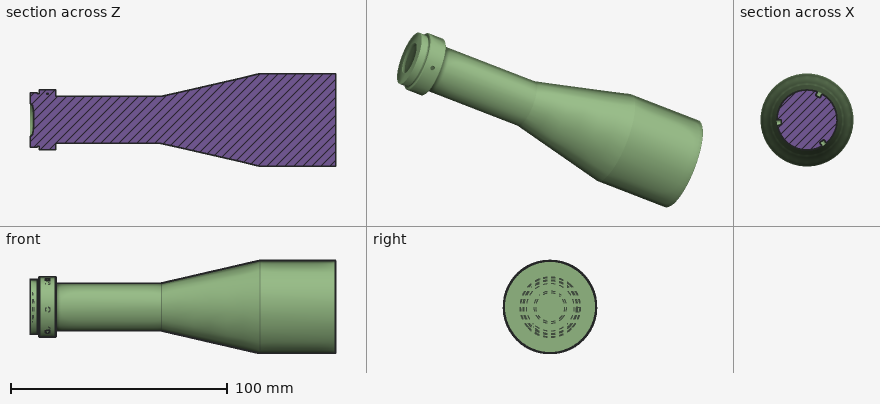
import cadquery as cq
import math

total_length = 141.1
flange_end = 3.3
collar_start = 4.0
collar_end = 12.0
cone_start = 60.4
cone_end = 105.9

flange_radius = 25.4 / 2
groove_radius = 24.4 / 2
collar_radius = 28.0 / 2
tube_radius = 22.0 / 2
barrel_radius = 43.0 / 2

collar_chamfer = 0.35
barrel_chamfer = 0.3

recess_mouth_radius = 7.5
recess_floor_radius = 6.7
recess_depth = 1.0
dish_depth = 0.6

screw_hole_diameter = 2.2
screw_hole_depth = 2.0
screw_hole_count = 3
first_screw_angle = 65.0


def revolve_about_x(profile):
    return profile.close().revolve(360, (0, 0, 0), (1, 0, 0))


def make_body():
    profile = (
        cq.Workplane("XZ")
        .moveTo(0, 0)
        .lineTo(0, flange_radius)
        .lineTo(flange_end, flange_radius)
        .lineTo(flange_end, groove_radius)
        .lineTo(collar_start, groove_radius)
        .lineTo(collar_start, collar_radius - collar_chamfer)
        .lineTo(collar_start + collar_chamfer, collar_radius)
        .lineTo(collar_end - collar_chamfer, collar_radius)
        .lineTo(collar_end, collar_radius - collar_chamfer)
        .lineTo(collar_end, tube_radius)
        .lineTo(cone_start, tube_radius)
        .lineTo(cone_end, barrel_radius)
        .lineTo(total_length - barrel_chamfer, barrel_radius)
        .lineTo(total_length, barrel_radius - barrel_chamfer)
        .lineTo(total_length, 0)
    )
    return revolve_about_x(profile)


def make_recess():
    """Tapered recess whose floor is a shallow concave spherical dish."""
    sphere_radius = (recess_floor_radius**2 + dish_depth**2) / (2 * dish_depth)
    pole = recess_depth + dish_depth
    half_angle = math.asin(recess_floor_radius / sphere_radius) / 2
    arc_middle = (
        pole - sphere_radius * (1 - math.cos(half_angle)),
        sphere_radius * math.sin(half_angle),
    )
    profile = (
        cq.Workplane("XZ")
        .moveTo(0, 0)
        .lineTo(0, recess_mouth_radius)
        .lineTo(recess_depth, recess_floor_radius)
        .threePointArc(arc_middle, (pole, 0))
    )
    return revolve_about_x(profile)


def make_screw_hole(angle):
    """Cutter for one radial blind hole; it reaches past the collar surface so the mouth is clean."""
    outward = cq.Vector(0, -math.cos(math.radians(angle)), math.sin(math.radians(angle)))
    collar_middle = cq.Vector((collar_start + collar_end) / 2, 0, 0)
    mouth = collar_middle + outward * collar_radius
    hole = cq.Solid.makeCylinder(
        screw_hole_diameter / 2,
        2 * screw_hole_depth,
        mouth - outward * screw_hole_depth,
        outward,
    )
    return cq.Workplane(obj=hole)


result = make_body().cut(make_recess())
screw_spacing = 360 / screw_hole_count
for index in range(screw_hole_count):
    result = result.cut(make_screw_hole(first_screw_angle + index * screw_spacing))